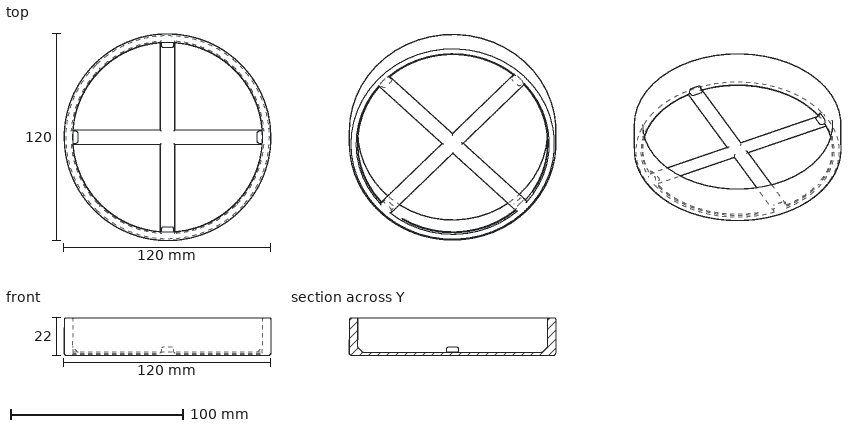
import cadquery as cq

outer_diameter = 120.0
inner_diameter = 110.0
height = 22.0
rim_radius = 1.0
base_chamfer = 1.0
base_blend_radius = 1.0

spoke_width = 8.5
spoke_thickness = 2.0
spoke_edge_radius = 0.7

gusset_size = 3.0
gusset_edge_radius = 1.0
gusset_width = spoke_width - 2 * spoke_edge_radius

outer_radius = outer_diameter / 2
inner_radius = inner_diameter / 2
spoke_end = (inner_radius + outer_radius) / 2
gusset_angles = (0, 90, 180, 270)


def make_ring():
    ring = cq.Workplane("XY").circle(outer_radius).circle(inner_radius).extrude(height)
    ring = ring.faces(">Z").edges().fillet(rim_radius)
    ring = ring.faces("<Z").edges().chamfer(base_chamfer)
    bevel_top = cq.selectors.BoxSelector(
        (-outer_diameter, -outer_diameter, base_chamfer / 2),
        (outer_diameter, outer_diameter, base_chamfer * 3 / 2),
    )
    return ring.edges("%CIRCLE").edges(bevel_top).fillet(base_blend_radius)


def make_cross():
    bar_length = 2 * spoke_end
    centered = (True, True, False)
    bar_x = cq.Workplane("XY").box(bar_length, spoke_width, spoke_thickness, centered=centered)
    bar_y = cq.Workplane("XY").box(spoke_width, bar_length, spoke_thickness, centered=centered)
    cross = bar_x.union(bar_y)
    return cross.faces(">Z or <Z").edges().fillet(spoke_edge_radius)


def make_gusset(angle):
    toe = inner_radius - gusset_size
    top = spoke_thickness + gusset_size
    profile = [
        (toe, spoke_thickness),
        (inner_radius, top),
        (spoke_end, top),
        (spoke_end, spoke_thickness),
    ]
    gusset = cq.Workplane("XZ").polyline(profile).close().extrude(gusset_width / 2, both=True)
    slope_middle = (toe + gusset_size / 2, 0, spoke_thickness + gusset_size / 2)
    slope = cq.selectors.NearestToPointSelector(slope_middle)
    gusset = gusset.faces(slope).edges("#Y").fillet(gusset_edge_radius)
    return gusset.rotate((0, 0, 0), (0, 0, 1), angle)


result = make_ring().union(make_cross())
for gusset_angle in gusset_angles:
    result = result.union(make_gusset(gusset_angle))